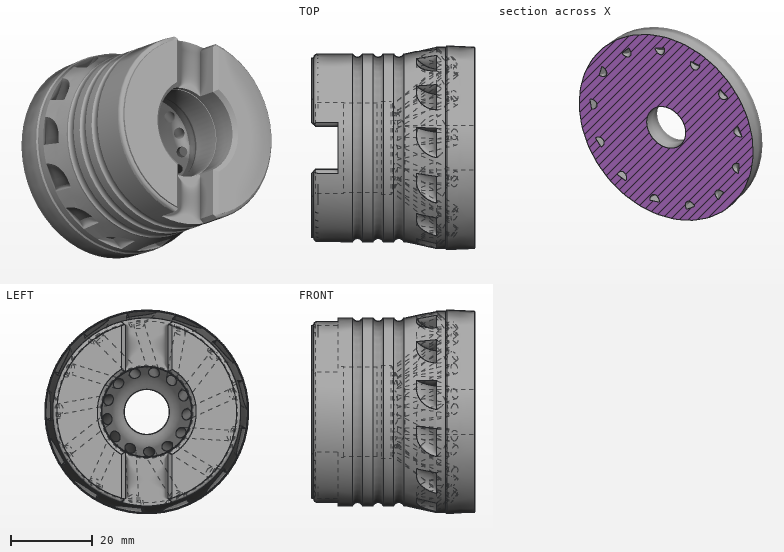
import cadquery as cq
import math

LENGTH = 40.0
AXIS_START = (0, 0, 0)
AXIS_END = (1, 0, 0)

LIP_RADIUS = 22.05
LIP_LENGTH = 0.5
BODY_ROUND = 1.0
BODY_RADIUS = LIP_RADIUS + BODY_ROUND

FIRST_GROOVE = 10.0
GROOVE_PITCH = 5.05
GROOVE_COUNT = 3
GROOVE_WIDTH = 2.5
GROOVE_DEPTH = 0.8

CONE_START = 23.05
CONE_END = 30.6
SHOULDER_RADIUS = 24.7
SHOULDER_END = 32.8
RIM_START = 33.2
RIM_RADIUS = 25.0
RIM_END_RADIUS = 24.7
RIM_END_ROUND = 0.3

ENTRY_RADIUS = 11.15
ENTRY_CHAMFER = 1.0
ENTRY_DEPTH = 7.8
BORE_RADIUS = 11.0
RELIEF_START = 16.0
RELIEF_TAPER = 1.1
RELIEF_RADIUS = 11.4
FUNNEL_START = 19.5
FUNNEL_SLOPE = math.tan(math.radians(30.0))
THROUGH_RADIUS = 5.5
FUNNEL_END = FUNNEL_START + (RELIEF_RADIUS - THROUGH_RADIUS) * FUNNEL_SLOPE

SLOT_WIDTH = 10.5
SLOT_DEPTH = 6.4
SLOT_CHAMFER = 1.0

PORT_COUNT = 13
POCKET_RADIUS = 6.9
POCKET_CENTRE_X = 31.05
POCKET_FLOOR_RADIUS = 21.1
POCKET_FLAT_WIDTH = 2.1
POCKET_WALL_OFFSET = 0.65
POCKET_ANGLE = -8.7
POCKET_TILT = 6.0
POCKET_ROLL = -3.5

HOLE_RADIUS = 1.3
HOLE_INLET_RADIUS = 9.8
HOLE_INLET_ANGLE = -3.5
HOLE_INLET_X = FUNNEL_START + (RELIEF_RADIUS - HOLE_INLET_RADIUS) * FUNNEL_SLOPE
HOLE_OUTLET_X = 35.0
HOLE_OUTLET_RADIUS = 21.5
HOLE_OUTLET_ANGLE = 12.0
HOLE_LEAD_IN = 2.0


def turn(shape, angle):
    """Rotate a shape about the part's axis."""
    return shape.rotate(AXIS_START, AXIS_END, angle)


def point_on_ring(x, radius, angle):
    """Point at a given position along the axis, distance from it and angle around it."""
    around = math.radians(angle)
    return cq.Vector(x, -radius * math.cos(around), radius * math.sin(around))


def make_body():
    """Solid of revolution carrying the lip, grooves, cone, shoulder and rim."""
    round_end = LIP_LENGTH + BODY_ROUND
    round_mid = BODY_ROUND * math.sqrt(0.5)
    profile = (
        cq.Workplane("XZ")
        .lineTo(0, LIP_RADIUS)
        .lineTo(LIP_LENGTH, LIP_RADIUS)
        .threePointArc((round_end - round_mid, LIP_RADIUS + round_mid), (round_end, BODY_RADIUS))
    )
    for index in range(GROOVE_COUNT):
        start = FIRST_GROOVE + index * GROOVE_PITCH
        bottom = (start + GROOVE_WIDTH / 2, BODY_RADIUS - GROOVE_DEPTH)
        end = (start + GROOVE_WIDTH, BODY_RADIUS)
        profile = profile.lineTo(start, BODY_RADIUS).threePointArc(bottom, end)
    return (
        profile.lineTo(CONE_START, BODY_RADIUS)
        .lineTo(CONE_END, SHOULDER_RADIUS)
        .lineTo(SHOULDER_END, SHOULDER_RADIUS)
        .lineTo(RIM_START, RIM_RADIUS)
        .lineTo(LENGTH - RIM_END_ROUND, RIM_END_RADIUS)
        .radiusArc((LENGTH, RIM_END_RADIUS - RIM_END_ROUND), RIM_END_ROUND)
        .lineTo(LENGTH, 0)
        .close()
        .revolve(360, AXIS_START, AXIS_END)
    )


def make_bore():
    """Chamfered entry, bore, relief, conical funnel and through bore, as one cutter."""
    return (
        cq.Workplane("XZ")
        .lineTo(0, ENTRY_RADIUS + ENTRY_CHAMFER)
        .lineTo(ENTRY_CHAMFER, ENTRY_RADIUS)
        .lineTo(ENTRY_DEPTH, ENTRY_RADIUS)
        .lineTo(ENTRY_DEPTH, BORE_RADIUS)
        .lineTo(RELIEF_START, BORE_RADIUS)
        .lineTo(RELIEF_START + RELIEF_TAPER, RELIEF_RADIUS)
        .lineTo(FUNNEL_START, RELIEF_RADIUS)
        .lineTo(FUNNEL_END, THROUGH_RADIUS)
        .lineTo(LENGTH, THROUGH_RADIUS)
        .lineTo(LENGTH, 0)
        .close()
        .revolve(360, AXIS_START, AXIS_END)
    )


def make_slot():
    """Slot along Z that widens in chamfers at the front face and at the body's outside."""
    half = SLOT_WIDTH / 2
    wide = half + SLOT_CHAMFER
    slot = (
        cq.Workplane("XY")
        .moveTo(0, -wide)
        .lineTo(SLOT_CHAMFER, -half)
        .lineTo(SLOT_DEPTH, -half)
        .lineTo(SLOT_DEPTH, half)
        .lineTo(SLOT_CHAMFER, half)
        .lineTo(0, wide)
        .close()
        .extrude(RIM_RADIUS, both=True)
    )
    chamfer_top = math.sqrt(BODY_RADIUS**2 - wide**2)
    chamfer_bottom = chamfer_top - SLOT_CHAMFER
    mouth = (
        cq.Workplane("YZ")
        .moveTo(-half, chamfer_bottom)
        .lineTo(half, chamfer_bottom)
        .lineTo(wide, chamfer_top)
        .lineTo(wide, RIM_RADIUS)
        .lineTo(-wide, RIM_RADIUS)
        .lineTo(-wide, chamfer_top)
        .close()
        .extrude(SLOT_DEPTH)
    )
    return slot.union(mouth).union(turn(mouth, 180))


def make_pocket_limit():
    """Space open to the outside over the cone, closed by a 45 degree cone under the shoulder."""
    open_radius = 2 * SHOULDER_RADIUS
    return (
        cq.Workplane("XZ")
        .lineTo(0, open_radius)
        .lineTo(CONE_END, open_radius)
        .lineTo(CONE_END, SHOULDER_RADIUS)
        .lineTo(CONE_END + SHOULDER_RADIUS, 0)
        .close()
        .revolve(360, AXIS_START, AXIS_END)
    )


def make_pocket():
    """Pocket with one flat side wall, a short cylindrical floor and a spherical end."""
    cutter = (
        cq.Workplane("XZ")
        .lineTo(POCKET_RADIUS, 0)
        .lineTo(POCKET_RADIUS, -POCKET_FLAT_WIDTH)
        .radiusArc((0, -POCKET_FLAT_WIDTH - POCKET_RADIUS), POCKET_RADIUS)
        .close()
        .revolve(360, (0, 0, 0), (0, 1, 0))
    )
    centre = (POCKET_CENTRE_X, -POCKET_FLOOR_RADIUS - POCKET_RADIUS, -POCKET_WALL_OFFSET)
    placed = (
        cutter.rotate((0, 0, 0), (0, 1, 0), POCKET_TILT)
        .rotate((0, POCKET_RADIUS, 0), (1, POCKET_RADIUS, 0), POCKET_ROLL)
        .translate(centre)
    )
    return turn(placed.intersect(make_pocket_limit()), -POCKET_ANGLE)


def make_hole():
    """Slanted round hole from the funnel into a pocket."""
    inlet = point_on_ring(HOLE_INLET_X, HOLE_INLET_RADIUS, HOLE_INLET_ANGLE)
    outlet = point_on_ring(HOLE_OUTLET_X, HOLE_OUTLET_RADIUS, HOLE_OUTLET_ANGLE)
    direction = (outlet - inlet).normalized()
    start = inlet - direction * HOLE_LEAD_IN
    length = (outlet - start).Length
    return cq.Workplane(cq.Solid.makeCylinder(HOLE_RADIUS, length, start, direction))


result = make_body().cut(make_bore()).cut(make_slot())

pocket = make_pocket()
hole = make_hole()
for port in range(PORT_COUNT):
    port_angle = port * 360 / PORT_COUNT
    result = result.cut(turn(pocket, port_angle)).cut(turn(hole, port_angle))